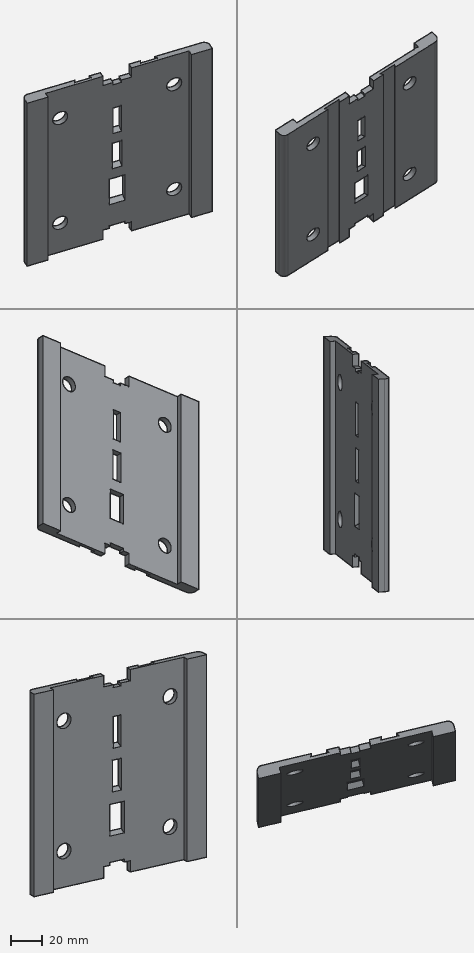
import cadquery as cq
import math

DEPTH = 8.0
WIDTH = 130.0
HEIGHT = 140.0

WEB_THICKNESS = 4.0
RAIL_WIDTH = 14.7
CORNER_RADIUS = 4.0

GROOVE_OFFSET = 23.1
GROOVE_MOUTH = 9.8
GROOVE_DEPTH = 2.0
GROOVE_ANGLE = 60.0

HOLE_DIAMETER = 10.5
HOLE_SPACING_Y = 80.1
HOLE_SPACING_Z = 90.0

SLOT_HEIGHT = 20.0
SLOT_PITCH = 30.1
NARROW_SLOT = 5.7
MIDDLE_SLOT = 6.7
WIDE_SLOT = 10.9
SLOT_FLOOR_DROP = 1.8

NOTCH_WIDTH = 20.0
NOTCH_DEPTH = 7.8
NOTCH_STEP = 2.0

FRONT_X = -DEPTH / 2
BACK_X = DEPTH / 2
WEB_BACK_X = FRONT_X + WEB_THICKNESS


def plate_body():
    """Flat plate relieved at the back between two rails, outer front edges rounded."""
    relief_depth = DEPTH - WEB_THICKNESS
    relief = cq.Workplane("XY").box(relief_depth, WIDTH - 2 * RAIL_WIDTH, HEIGHT)
    relief = relief.translate(((WEB_BACK_X + BACK_X) / 2, 0, 0))
    plate = cq.Workplane("XY").box(DEPTH, WIDTH, HEIGHT)
    plate = plate.edges("|Z and <X").fillet(CORNER_RADIUS)
    return plate.cut(relief)


def dovetail_groove(y_center):
    """Full-height groove that widens toward its floor."""
    half_mouth = GROOVE_MOUTH / 2
    half_floor = half_mouth + GROOVE_DEPTH / math.tan(math.radians(GROOVE_ANGLE))
    floor_x = FRONT_X + GROOVE_DEPTH
    return (
        cq.Workplane("XY", origin=(0, 0, -HEIGHT / 2))
        .moveTo(FRONT_X, y_center - half_mouth)
        .lineTo(floor_x, y_center - half_floor)
        .lineTo(floor_x, y_center + half_floor)
        .lineTo(FRONT_X, y_center + half_mouth)
        .close()
        .extrude(HEIGHT)
    )


def window(width, height, z_center):
    """Rectangular cutter through the whole thickness on the centre line."""
    return cq.Workplane("XY").box(DEPTH, width, height).translate((0, 0, z_center))


def hook_slot(width, z_center):
    """Slot through the web whose floor slopes down toward the back face."""
    top_z = z_center + SLOT_HEIGHT / 2
    floor_z = z_center - SLOT_HEIGHT / 2
    return (
        cq.Workplane("XZ")
        .moveTo(FRONT_X, top_z)
        .lineTo(WEB_BACK_X, top_z)
        .lineTo(WEB_BACK_X, floor_z - SLOT_FLOOR_DROP)
        .lineTo(FRONT_X, floor_z)
        .close()
        .extrude(width / 2, both=True)
    )


def mounting_holes():
    return (
        cq.Workplane("YZ", origin=(FRONT_X, 0, 0))
        .rect(HOLE_SPACING_Y, HOLE_SPACING_Z, forConstruction=True)
        .vertices()
        .circle(HOLE_DIAMETER / 2)
        .extrude(DEPTH)
    )


result = plate_body().cut(mounting_holes())

for side, step_width in ((-1, WIDE_SLOT), (1, NARROW_SLOT)):
    result = result.cut(dovetail_groove(side * GROOVE_OFFSET))
    edge_z = side * HEIGHT / 2
    result = result.cut(window(NOTCH_WIDTH, 2 * NOTCH_DEPTH, edge_z))
    result = result.cut(window(step_width, 2 * (NOTCH_DEPTH + NOTCH_STEP), edge_z))

for steps_from_center, slot_width in ((-1, WIDE_SLOT), (0, MIDDLE_SLOT), (1, NARROW_SLOT)):
    result = result.cut(hook_slot(slot_width, steps_from_center * SLOT_PITCH))